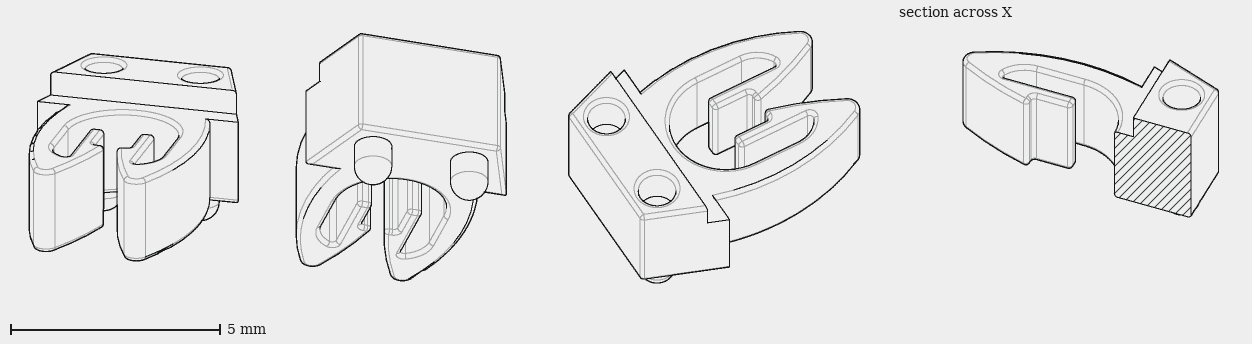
import cadquery as cq
import math


base_front_half_width = 2.5
base_back_half_width = 1.75
base_depth = 2.0
base_height = 2.7
clip_height = 2.1
step_y = 0.5

pin_radius = 0.9 / 2
pin_length = 1.0
pin_half_spacing = 1.2
pin_y = 1.25
socket_depth = 1.0

opening_radius = 1.35
pocket_start_y = -2.575
pocket_bottom_y = -3.25

prong_inner_x = 0.45
prong_outer_x = 0.8
prong_end_y = -1.3
hook_corner_x = 0.145
hook_y = -2.3

arm_half_width = 2.02
arm_widest_y = -1.6
arm_end_y = -4.36
tip_x = 1.123
tip_radius = 0.3
flank_radius = 8.3

edge_round = 0.1
inner_corner_radius = 0.1

select_margin = 0.01


def polar(centre, radius, angle):
    """Point at a radius and angle from a centre."""
    return (centre[0] + radius * math.cos(angle), centre[1] + radius * math.sin(angle))


def direction(start, end):
    """Angle from one point to another, between 0 and a full turn."""
    return math.atan2(end[1] - start[1], end[0] - start[0]) % (2 * math.pi)


def add_arc(sketch, centre, radius, start_angle, end_angle):
    """Continue the outline along an arc that begins at the current point."""
    middle = polar(centre, radius, (start_angle + end_angle) / 2)
    return sketch.threePointArc(middle, polar(centre, radius, end_angle))


def enclosing_radius(wall_x, start_y, centre, radius):
    """Radius of the arc leaving the wall x = wall_x at start_y that runs tangent into a smaller round."""
    across = wall_x - centre[0]
    along = start_y - centre[1]
    return (across**2 + along**2 - radius**2) / (2 * (across - radius))


def flank_centre(corner, tip_centre):
    """Centre of the flank arc that passes through the hook corner and is tangent to the tip."""
    tip_distance = flank_radius - tip_radius
    span = math.dist(corner, tip_centre)
    cosine = (flank_radius**2 + span**2 - tip_distance**2) / (2 * flank_radius * span)
    return polar(corner, flank_radius, direction(corner, tip_centre) + math.acos(cosine))


def half_outline():
    """Closed outline of the +X half of the base and its arm."""
    tip_centre = (tip_x, arm_end_y + tip_radius)
    outer_radius = enclosing_radius(arm_half_width, arm_widest_y, tip_centre, tip_radius)
    outer_centre = (arm_half_width - outer_radius, arm_widest_y)
    outer_start = math.asin(-arm_widest_y / outer_radius)
    outer_end = direction(outer_centre, tip_centre)

    hook_corner = (hook_corner_x, hook_y)
    inner_centre = flank_centre(hook_corner, tip_centre)
    flank_start = direction(inner_centre, tip_centre)
    flank_end = direction(inner_centre, hook_corner)

    ledge_centre = (prong_inner_x - inner_corner_radius, hook_y + inner_corner_radius)
    corner_centre = (prong_outer_x + inner_corner_radius, pocket_bottom_y + inner_corner_radius)
    pocket_radius = enclosing_radius(opening_radius, pocket_start_y, corner_centre, inner_corner_radius)
    pocket_centre = (opening_radius - pocket_radius, pocket_start_y)
    pocket_end = direction(pocket_centre, corner_centre)
    opening_centre = (0, -opening_radius)

    sketch = (
        cq.Workplane("XY")
        .moveTo(0, base_depth)
        .lineTo(base_back_half_width, base_depth)
        .lineTo(base_front_half_width, 0)
        .lineTo(*polar(outer_centre, outer_radius, outer_start))
    )
    sketch = add_arc(sketch, outer_centre, outer_radius, outer_start, outer_end - 2 * math.pi)
    sketch = add_arc(sketch, tip_centre, tip_radius, outer_end, flank_start)
    sketch = add_arc(sketch, inner_centre, flank_radius, flank_start, flank_end)
    sketch = sketch.lineTo(ledge_centre[0], hook_y)
    sketch = add_arc(sketch, ledge_centre, inner_corner_radius, -math.pi / 2, 0)
    sketch = (
        sketch.lineTo(prong_inner_x, prong_end_y)
        .lineTo(prong_outer_x, prong_end_y)
        .lineTo(prong_outer_x, corner_centre[1])
    )
    sketch = add_arc(sketch, corner_centre, inner_corner_radius, math.pi, pocket_end)
    sketch = add_arc(sketch, pocket_centre, pocket_radius, pocket_end, 2 * math.pi)
    sketch = sketch.lineTo(opening_radius, -opening_radius)
    sketch = add_arc(sketch, opening_centre, opening_radius, 0, math.pi / 2)
    return sketch.close()


def half_width_at(y):
    """Half width of the base at a given Y."""
    return base_front_half_width + (base_back_half_width - base_front_half_width) * y / base_depth


def sharp_body():
    """Both halves joined, with the raised block behind the step and no rounded rims yet."""
    half_clip = half_outline().extrude(clip_height)
    step_half_width = half_width_at(step_y)
    raised_block = (
        cq.Workplane("XY")
        .moveTo(-step_half_width, step_y)
        .lineTo(step_half_width, step_y)
        .lineTo(base_back_half_width, base_depth)
        .lineTo(-base_back_half_width, base_depth)
        .close()
        .extrude(base_height)
    )
    return half_clip.union(half_clip.mirror("YZ")).union(raised_block).clean()


def edges_in_box(body, low, high):
    """Edges whose centre lies in the box between two corners, slightly enlarged."""
    return body.edges(
        cq.selectors.BoxSelector(
            [value - select_margin for value in low],
            [value + select_margin for value in high],
        )
    )


def round_edges(body):
    """Round the lower rim, the upper rims of the arms and raised block, and the sharp upright corners."""
    lower_rim = body.faces("<Z").edges()
    arm_upper_rim = edges_in_box(
        body,
        (-base_front_half_width, arm_end_y, clip_height),
        (base_front_half_width, -2 * select_margin, clip_height),
    )
    block_upper_rim = edges_in_box(
        body,
        (-base_front_half_width, step_y + 2 * select_margin, base_height),
        (base_front_half_width, base_depth, base_height),
    )
    rounded = lower_rim.add(arm_upper_rim).add(block_upper_rim)

    upright_corners = [
        (base_back_half_width, base_depth),
        (prong_inner_x, prong_end_y),
        (prong_outer_x, prong_end_y),
        (hook_corner_x, hook_y),
    ]
    for x, y in upright_corners:
        for side in (-1, 1):
            corner_edges = edges_in_box(
                body.edges("|Z"),
                (side * x, y, 0),
                (side * x, y, base_height),
            )
            rounded = rounded.add(corner_edges)
    return rounded.fillet(edge_round)


def pin():
    """Round-ended pin hanging below Z = 0, on the Z axis."""
    straight_length = pin_length - pin_radius
    shank = cq.Workplane("XY").circle(pin_radius).extrude(-straight_length)
    round_end = cq.Workplane("XY").sphere(pin_radius).translate((0, 0, -straight_length))
    return shank.union(round_end)


def socket():
    """Cutter for a blind hole with a rounded mouth at Z = 0, on the Z axis."""
    return (
        cq.Workplane("XZ")
        .moveTo(0, -socket_depth)
        .lineTo(pin_radius, -socket_depth)
        .lineTo(pin_radius, -edge_round)
        .radiusArc((pin_radius + edge_round, 0), edge_round)
        .lineTo(0, 0)
        .close()
        .revolve(360, (0, 0), (0, 1))
    )


def add_pins_and_sockets(body):
    for side in (-1, 1):
        pin_x = side * pin_half_spacing
        body = body.union(pin().translate((pin_x, pin_y, 0)))
        body = body.cut(socket().translate((pin_x, pin_y, base_height)))
    return body


result = add_pins_and_sockets(round_edges(sharp_body()))